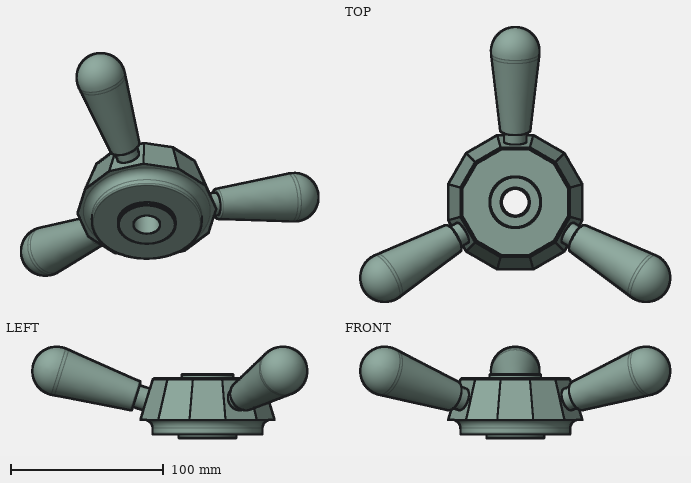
import cadquery as cq
import math

SIDE_COUNT = 12
HUB_BOTTOM_FLATS = 88.0
HUB_TOP_FLATS = 71.0
HUB_BOTTOM_Z = 12.2
HUB_TOP_Z = 39.5
HUB_TOP_CHAMFER = 1.0

BASE_DIAMETER = 72.0
BASE_BOTTOM_Z = 2.5
BASE_FILLET = 1.0
COVE_RADIUS = 5.5

LOWER_BOSS_DIAMETER = 38.0
UPPER_BOSS_DIAMETER = 34.0
UPPER_BOSS_TOP_Z = 42.0
BOSS_CHAMFER = 0.6
BORE_DIAMETER = 17.5
BORE_CHAMFER = 0.8

HANDLE_COUNT = 3
FIRST_HANDLE_ANGLE = 90.0
HANDLE_TILT = 17.5
BALL_RADIUS = 16.0
BALL_CENTER_DISTANCE = 98.7
BALL_CENTER_Z = 44.0
BALL_OVERRUN = 1.2
BLEND_LENGTH = 2.2
GRIP_START_DIAMETER = 31.5
GRIP_LENGTH = 54.6
GRIP_END_DIAMETER = 19.9
GRIP_END_FILLET = 1.0
NECK_DIAMETER = 15.0
NECK_LENGTH = 18.3


def disc(diameter, bottom_z, top_z):
    """Upright cylinder on the hub axis."""
    return cq.Workplane("XY").workplane(offset=bottom_z).circle(diameter / 2).extrude(top_z - bottom_z)


def make_bore_countersink():
    """Cone that bevels the upper rim of the bore."""
    bore_radius = BORE_DIAMETER / 2
    return (
        cq.Workplane("XZ")
        .moveTo(0, UPPER_BOSS_TOP_Z - BORE_CHAMFER)
        .lineTo(bore_radius, UPPER_BOSS_TOP_Z - BORE_CHAMFER)
        .lineTo(bore_radius + BORE_CHAMFER, UPPER_BOSS_TOP_Z)
        .lineTo(0, UPPER_BOSS_TOP_Z)
        .close()
        .revolve(360, (0, 0, 0), (0, 1, 0))
    )


def make_faceted_body():
    """Twelve-sided frustum with flats square to the X and Y axes."""
    corner_scale = 1 / math.cos(math.pi / SIDE_COUNT)
    taper = math.degrees(math.atan2((HUB_BOTTOM_FLATS - HUB_TOP_FLATS) / 2, HUB_TOP_Z - HUB_BOTTOM_Z))
    body = (
        cq.Workplane("XY")
        .workplane(offset=HUB_BOTTOM_Z)
        .transformed(rotate=(0, 0, 180 / SIDE_COUNT))
        .polygon(SIDE_COUNT, HUB_BOTTOM_FLATS * corner_scale)
        .extrude(HUB_TOP_Z - HUB_BOTTOM_Z, taper=taper)
    )
    return body.faces(">Z").chamfer(HUB_TOP_CHAMFER)


def make_base():
    """Round base that flares into the underside of the body through a cove."""
    radius = BASE_DIAMETER / 2
    cove_bottom_z = HUB_BOTTOM_Z - COVE_RADIUS
    cove_reach = COVE_RADIUS * math.sqrt(0.5)
    return (
        cq.Workplane("XZ")
        .moveTo(0, BASE_BOTTOM_Z)
        .lineTo(radius, BASE_BOTTOM_Z)
        .lineTo(radius, cove_bottom_z)
        .threePointArc(
            (radius + COVE_RADIUS - cove_reach, cove_bottom_z + cove_reach),
            (radius + COVE_RADIUS, HUB_BOTTOM_Z),
        )
        .lineTo(0, HUB_BOTTOM_Z)
        .close()
        .revolve(360, (0, 0, 0), (0, 1, 0))
        .faces("<Z")
        .edges()
        .fillet(BASE_FILLET)
    )


def make_handle():
    """Handle along +X from the ball centre at the origin, neck toward the hub on -X."""
    ball_edge_radius = math.sqrt(BALL_RADIUS**2 - BALL_OVERRUN**2)
    grip_start_x = -BALL_OVERRUN - BLEND_LENGTH
    grip = (
        cq.Workplane("XY")
        .moveTo(BALL_RADIUS, 0)
        .threePointArc((0, BALL_RADIUS), (-BALL_OVERRUN, ball_edge_radius))
        .tangentArcPoint((grip_start_x, GRIP_START_DIAMETER / 2), relative=False)
        .lineTo(-GRIP_LENGTH, GRIP_END_DIAMETER / 2)
        .lineTo(-GRIP_LENGTH, 0)
        .close()
        .revolve(360, (0, 0, 0), (1, 0, 0))
        .faces("<X")
        .edges()
        .fillet(GRIP_END_FILLET)
    )
    neck = (
        cq.Workplane("YZ")
        .workplane(offset=-GRIP_LENGTH)
        .circle(NECK_DIAMETER / 2)
        .extrude(-NECK_LENGTH)
    )
    return grip.union(neck)


def place_handle(handle, angle):
    """Tilt the ball end upward, move it out from the hub, then turn it about the hub axis."""
    return (
        handle.rotate((0, 0, 0), (0, 1, 0), -HANDLE_TILT)
        .translate((BALL_CENTER_DISTANCE, 0, BALL_CENTER_Z))
        .rotate((0, 0, 0), (0, 0, 1), angle)
    )


lower_boss = disc(LOWER_BOSS_DIAMETER, 0, BASE_BOTTOM_Z).faces("<Z").chamfer(BOSS_CHAMFER)
upper_boss = disc(UPPER_BOSS_DIAMETER, HUB_TOP_Z, UPPER_BOSS_TOP_Z).faces(">Z").chamfer(BOSS_CHAMFER)
result = make_faceted_body().union(make_base()).union(lower_boss).union(upper_boss)

handle = make_handle()
for index in range(HANDLE_COUNT):
    result = result.union(place_handle(handle, FIRST_HANDLE_ANGLE + index * 360 / HANDLE_COUNT))

bore = disc(BORE_DIAMETER, 0, UPPER_BOSS_TOP_Z)
result = result.cut(bore).cut(make_bore_countersink())